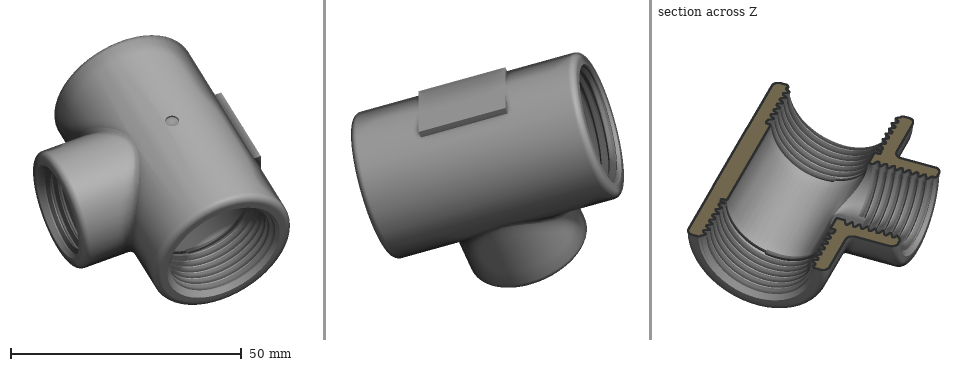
import cadquery as cq
import math

run_length = 52.0
run_diameter = 33.0
branch_diameter = 27.0
branch_reach = 27.55
edge_radius = 1.5

thread_pitch = 25.4 / 14
thread_depth = 0.640327 * thread_pitch
flank_angle = math.radians(27.5)
crest_width = thread_pitch / 8
root_width = thread_pitch - crest_width - 2 * thread_depth * math.tan(flank_angle)
cutter_overlap = 0.1
thread_lead = thread_pitch

run_bore = 24.117
run_mouth = 27.0
branch_bore = 18.631
branch_mouth = 21.5
run_thread_length = 13.0
run_thread_start = 33.0
branch_thread_length = 14.0
branch_thread_start = 180.0
relief_width = 0.8
relief_depth = 1.25

pad_width = 20.0
pad_height = 14.0
pad_face = 16.55

mark_diameter = 3.0
mark_depth = 0.5


def make_body():
    run = cq.Workplane("YZ").circle(run_diameter / 2).extrude(run_length / 2, both=True)
    run = run.faces("<X or >X").edges().fillet(edge_radius)
    branch = cq.Workplane("XZ").circle(branch_diameter / 2).extrude(branch_reach)
    branch = branch.faces("<Y").edges().fillet(edge_radius)
    body = run.union(branch)
    joint_zone = cq.selectors.BoxSelector(
        (-branch_diameter, -run_diameter / 2 - edge_radius, -run_diameter),
        (branch_diameter, -edge_radius, run_diameter),
    )
    joint_edges = body.edges(joint_zone).edges("not %CIRCLE").edges("not %LINE")
    return joint_edges.fillet(edge_radius)


def make_pad():
    return cq.Workplane("XZ").rect(pad_width, pad_height).extrude(-pad_face)


def make_thread_cutter(bore_radius, length, start_angle):
    """Helical ridge along +Z that cuts one thread, starting outside z = 0."""
    inner_radius = bore_radius - cutter_overlap
    root_radius = bore_radius + thread_depth
    inner_half = root_width / 2 + (thread_depth + cutter_overlap) * math.tan(flank_angle)
    helix = cq.Wire.makeHelix(thread_pitch, length + thread_lead, bore_radius)
    profile = cq.Workplane("XZ").polyline(
        [
            (inner_radius, -inner_half),
            (root_radius, -root_width / 2),
            (root_radius, root_width / 2),
            (inner_radius, inner_half),
        ]
    ).close()
    ridge = profile.sweep(cq.Workplane(helix), isFrenet=True).translate((0, 0, -thread_lead))
    return ridge.rotate((0, 0, 0), (0, 0, 1), start_angle)


def make_mouth_cutter(bore, mouth):
    """45 degree lead-in cone of a port that opens at z = 0 and runs along +Z."""
    tip_radius = bore / 2 - cutter_overlap
    return cq.Workplane("XY").add(cq.Solid.makeCone(mouth / 2, tip_radius, mouth / 2 - tip_radius))


def make_relief_cutter(bore):
    """Turned groove that ends the thread of a port at a shoulder."""
    groove = cq.Workplane("XY").circle(bore / 2 + relief_depth).extrude(relief_width)
    return groove.translate((0, 0, run_thread_length - relief_width))


def make_mark():
    floor = run_diameter / 2 - mark_depth
    return cq.Workplane("XY").workplane(offset=floor).circle(mark_diameter / 2).extrude(mark_depth)


def place_left(cutter):
    return cutter.rotate((0, 0, 0), (0, 1, 0), 90).translate((-run_length / 2, 0, 0))


def place_right(cutter):
    return place_left(cutter).rotate((0, 0, 0), (0, 0, 1), 180)


def place_branch(cutter):
    return cutter.rotate((0, 0, 0), (1, 0, 0), -90).translate((0, -branch_reach, 0))


result = make_body().union(make_pad()).cut(make_mark())
result = result.cut(cq.Workplane("YZ").circle(run_bore / 2).extrude(run_length / 2, both=True))
result = result.cut(cq.Workplane("XZ").circle(branch_bore / 2).extrude(branch_reach))

run_thread = make_thread_cutter(run_bore / 2, run_thread_length - relief_width / 2, run_thread_start)
for cutter in (run_thread, make_relief_cutter(run_bore), make_mouth_cutter(run_bore, run_mouth)):
    result = result.cut(place_left(cutter)).cut(place_right(cutter))

branch_thread = make_thread_cutter(branch_bore / 2, branch_thread_length, branch_thread_start)
for cutter in (branch_thread, make_mouth_cutter(branch_bore, branch_mouth)):
    result = result.cut(place_branch(cutter))